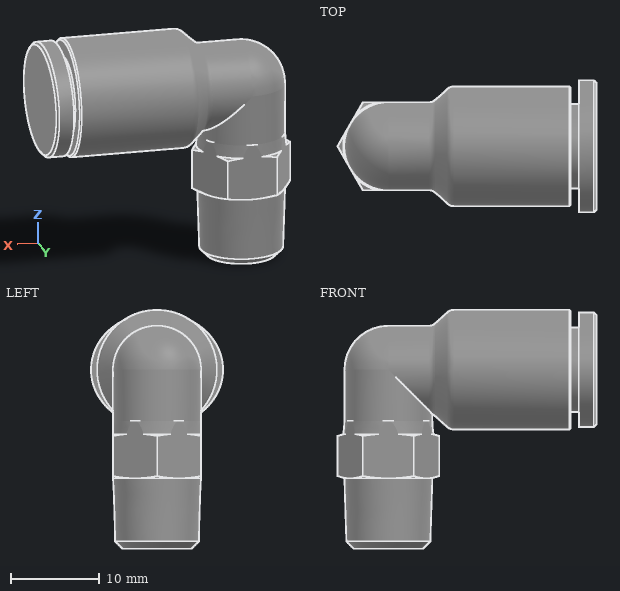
import cadquery as cq
import math


elbow_radius = 5.0
stem_bottom_z = -5.8

hex_across_flats = 10.0
hex_bottom_z = -12.3
hex_corner_radius = hex_across_flats / 2 / math.cos(math.radians(30))
flare_bottom_z = -7.3
flare_angle = 5.0
hex_top_chamfer_angle = 18.0
hex_bottom_chamfer_angle = 18.0
trim_margin = 1.0

thread_bottom_z = -20.3
thread_chamfer = 0.85
thread_taper = 1 / 16

socket_radius = 6.8
shoulder_start_x = elbow_radius
shoulder_end_x = 7.0
shoulder_fillet = 1.0
socket_end_x = 20.7
socket_chamfer = 0.2

neck_radius = 4.8
ring_start_x = 21.6
ring_end_x = 23.6
ring_half_width = 7.5
ring_half_height = 6.5
ring_edge_chamfer = 0.3
neck_root_fillet = 0.1


def revolve_about_z(profile):
    """Revolve a list of (radius, z) points about the Z axis."""
    return cq.Workplane("XZ").polyline(profile).close().revolve(360, (0, 0), (0, 1))


def make_elbow():
    """Spherical corner with a vertical stem running down from it."""
    stem = cq.Workplane("XY").circle(elbow_radius).extrude(stem_bottom_z)
    return cq.Workplane("XY").sphere(elbow_radius).union(stem)


def make_hexagon():
    """Hexagon trimmed by a steep flare and a chamfer on top and a chamfer below."""
    prism = (
        cq.Workplane("XY")
        .workplane(offset=hex_bottom_z)
        .polygon(6, 2 * hex_corner_radius)
        .extrude(stem_bottom_z - hex_bottom_z)
    )
    flare_height = stem_bottom_z - flare_bottom_z
    flare_radius = elbow_radius + flare_height * math.tan(math.radians(flare_angle))
    outer_radius = hex_corner_radius + trim_margin
    top_drop = (outer_radius - flare_radius) * math.tan(math.radians(hex_top_chamfer_angle))
    bottom_rise = (outer_radius - elbow_radius) * math.tan(math.radians(hex_bottom_chamfer_angle))
    envelope = revolve_about_z([
        (0, stem_bottom_z),
        (elbow_radius, stem_bottom_z),
        (flare_radius, flare_bottom_z),
        (outer_radius, flare_bottom_z - top_drop),
        (outer_radius, hex_bottom_z + bottom_rise),
        (elbow_radius, hex_bottom_z),
        (0, hex_bottom_z),
    ])
    return prism.intersect(envelope)


def make_thread_body():
    """Tapered body below the hexagon with a 45 degree lead-in chamfer."""
    taper_end_z = thread_bottom_z + thread_chamfer
    taper_end_radius = elbow_radius - (hex_bottom_z - taper_end_z) * thread_taper / 2
    return revolve_about_z([
        (0, hex_bottom_z),
        (elbow_radius, hex_bottom_z),
        (taper_end_radius, taper_end_z),
        (taper_end_radius - thread_chamfer, thread_bottom_z),
        (0, thread_bottom_z),
    ])


def make_socket():
    """Horizontal branch that widens over a filleted shoulder into the tube socket."""
    slope = math.atan2(socket_radius - elbow_radius, shoulder_end_x - shoulder_start_x)
    tangent = shoulder_fillet * math.tan(slope / 2)
    along_x = tangent * math.cos(slope)
    along_r = tangent * math.sin(slope)
    profile = (
        cq.Workplane("XZ")
        .lineTo(0, elbow_radius)
        .lineTo(shoulder_start_x - tangent, elbow_radius)
        .radiusArc((shoulder_start_x + along_x, elbow_radius + along_r), -shoulder_fillet)
        .lineTo(shoulder_end_x - along_x, socket_radius - along_r)
        .radiusArc((shoulder_end_x + tangent, socket_radius), shoulder_fillet)
        .lineTo(socket_end_x - socket_chamfer, socket_radius)
        .lineTo(socket_end_x, socket_radius - socket_chamfer)
        .lineTo(socket_end_x, 0)
        .close()
    )
    return profile.revolve(360, (0, 0), (1, 0))


def make_release_ring():
    """Round neck carrying an oval push ring with a chamfered outer edge."""
    neck = (
        cq.Workplane("YZ")
        .workplane(offset=socket_end_x)
        .circle(neck_radius)
        .extrude(ring_start_x - socket_end_x)
    )
    ring = (
        cq.Workplane("YZ")
        .workplane(offset=ring_start_x)
        .ellipse(ring_half_width, ring_half_height)
        .extrude(ring_end_x - ring_start_x)
        .faces(">X")
        .edges()
        .chamfer(ring_edge_chamfer)
    )
    neck_root = cq.selectors.RadiusNthSelector(0)
    return neck.union(ring).faces("<X[1]").edges(neck_root).fillet(neck_root_fillet)


result = (
    make_elbow()
    .union(make_socket())
    .union(make_hexagon())
    .union(make_thread_body())
    .union(make_release_ring())
)